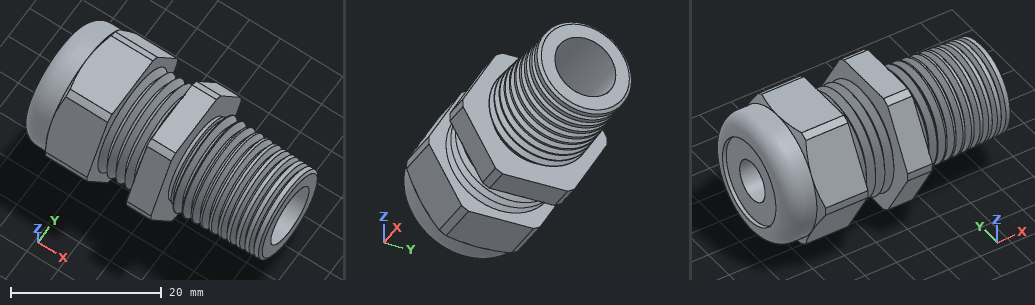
import cadquery as cq
import math

TOTAL_LENGTH = 37.08
ACROSS_FLATS = 19.05
CORNER_DIAMETER = 21.336
THREAD_PITCH = 1.434
FLANK_ANGLE = math.radians(30)
HALF_PITCH = THREAD_PITCH / 2
THREAD_DEPTH = HALF_PITCH / math.tan(FLANK_ANGLE)

NUT_LENGTH = 11.84
DOME_RADIUS = ACROSS_FLATS / 2
DOME_ROUND = 2.54
NUT_HEX_START = 4.47
HEX_CHAMFER_ANGLE = math.radians(30)
NUT_BORE_RADIUS = 6.45

INSERT_RECESS = 0.5
INSERT_EDGE_ROUND = 0.2
CABLE_HOLE_RADIUS = 3.07
CABLE_HOLE_LENGTH = 4.1
REAR_BORE_RADIUS = 4.5
FLANGE_START = 18.12
FLANGE_END = 22.04

MID_CREST_RADIUS = 8.15
MID_ROOT_RADIUS = MID_CREST_RADIUS - THREAD_DEPTH
MID_FIRST_CREST = 13.28
MID_CREST_COUNT = 4

REAR_ROOT_RADIUS = 6.38
REAR_CREST_COUNT = 10
REAR_THREAD_START = 22.81
REAR_END_CREST_RADIUS = 6.98
TAPER_SLOPE = 0.041
RELIEF_RADIUS = 6.53
RUNOUT_CREST_X = 22.63
RUNOUT_CREST_RADIUS = 6.76


def revolve_about_x(outline):
    """Turn a closed (x, radius) outline about the X axis."""
    return outline.close().revolve(360, (0, 0, 0), (1, 0, 0))


def hexagon(start, end):
    """Hexagonal prism along X with two flats facing +Z and -Z and turned corners."""
    length = end - start
    plane = cq.Workplane("YZ", origin=(start, 0, 0))
    prism = plane.polygon(6, ACROSS_FLATS / math.cos(math.pi / 6)).extrude(length)
    return prism.intersect(plane.circle(CORNER_DIAMETER / 2).extrude(length))


def cylinder(start, end, radius):
    return cq.Workplane("YZ", origin=(start, 0, 0)).circle(radius).extrude(end - start)


def make_dome_nut():
    corner_radius = CORNER_DIAMETER / 2
    chamfer_length = (corner_radius - DOME_RADIUS) * math.tan(HEX_CHAMFER_ANGLE)
    envelope = revolve_about_x(
        cq.Workplane("XY")
        .moveTo(NUT_HEX_START, 0)
        .lineTo(NUT_HEX_START, DOME_RADIUS)
        .lineTo(NUT_HEX_START + chamfer_length, corner_radius)
        .lineTo(NUT_LENGTH, corner_radius)
        .lineTo(NUT_LENGTH, 0)
    )
    hex_part = hexagon(NUT_HEX_START, NUT_LENGTH).intersect(envelope)
    dome = cylinder(0, NUT_HEX_START, DOME_RADIUS).faces("<X").edges().fillet(DOME_ROUND)
    return dome.union(hex_part).cut(cylinder(0, NUT_LENGTH, NUT_BORE_RADIUS))


def make_insert_end():
    """Smooth front stretch of the body, filling the nut bore."""
    stem = cylinder(INSERT_RECESS, NUT_LENGTH, NUT_BORE_RADIUS)
    return stem.faces("<X").edges().fillet(INSERT_EDGE_ROUND)


def make_middle_thread():
    def radius_at(x):
        offset = (x - MID_FIRST_CREST) / THREAD_PITCH
        distance = abs(offset - round(offset)) * THREAD_PITCH
        return MID_CREST_RADIUS - distance / math.tan(FLANK_ANGLE)

    outline = cq.Workplane("XY").moveTo(NUT_LENGTH, 0)
    outline = outline.lineTo(NUT_LENGTH, radius_at(NUT_LENGTH))
    for index in range(MID_CREST_COUNT):
        crest_x = MID_FIRST_CREST + index * THREAD_PITCH
        outline = outline.lineTo(crest_x - HALF_PITCH, MID_ROOT_RADIUS)
        outline = outline.lineTo(crest_x, MID_CREST_RADIUS)
    outline = outline.lineTo(FLANGE_START, radius_at(FLANGE_START)).lineTo(FLANGE_START, 0)
    return revolve_about_x(outline)


def make_rear_thread():
    relief_length = RUNOUT_CREST_X - FLANGE_END
    relief_rise = RUNOUT_CREST_RADIUS - RELIEF_RADIUS
    arc_radius = (relief_length**2 + relief_rise**2) / (2 * relief_rise)
    half_sweep = math.asin(relief_length / arc_radius) / 2
    arc_middle = (
        FLANGE_END + arc_radius * math.sin(half_sweep),
        RELIEF_RADIUS + arc_radius * (1 - math.cos(half_sweep)),
    )
    outline = (
        cq.Workplane("XY")
        .moveTo(FLANGE_END, 0)
        .lineTo(FLANGE_END, RELIEF_RADIUS)
        .threePointArc(arc_middle, (RUNOUT_CREST_X, RUNOUT_CREST_RADIUS))
        .lineTo(REAR_THREAD_START, REAR_ROOT_RADIUS)
    )
    for index in range(REAR_CREST_COUNT):
        root_x = REAR_THREAD_START + index * THREAD_PITCH
        outline = outline.lineTo(root_x + HALF_PITCH, REAR_ROOT_RADIUS + THREAD_DEPTH)
        outline = outline.lineTo(root_x + THREAD_PITCH, REAR_ROOT_RADIUS)
    last_root_x = REAR_THREAD_START + REAR_CREST_COUNT * THREAD_PITCH
    sharp_thread = revolve_about_x(outline.lineTo(last_root_x, 0))

    flange_side_radius = REAR_END_CREST_RADIUS + TAPER_SLOPE * (TOTAL_LENGTH - FLANGE_END)
    taper = revolve_about_x(
        cq.Workplane("XY")
        .moveTo(FLANGE_END, 0)
        .lineTo(FLANGE_END, flange_side_radius)
        .lineTo(TOTAL_LENGTH, REAR_END_CREST_RADIUS)
        .lineTo(TOTAL_LENGTH, 0)
    )
    return sharp_thread.intersect(taper)


def make_gland_body():
    body = make_insert_end().union(make_middle_thread())
    body = body.union(hexagon(FLANGE_START, FLANGE_END)).union(make_rear_thread())
    cable_hole_end = INSERT_RECESS + CABLE_HOLE_LENGTH
    body = body.cut(cylinder(INSERT_RECESS, cable_hole_end, CABLE_HOLE_RADIUS))
    return body.cut(cylinder(cable_hole_end, TOTAL_LENGTH, REAR_BORE_RADIUS))


dome_nut = make_dome_nut()
gland_body = make_gland_body()
result = cq.Compound.makeCompound([dome_nut.val(), gland_body.val()])